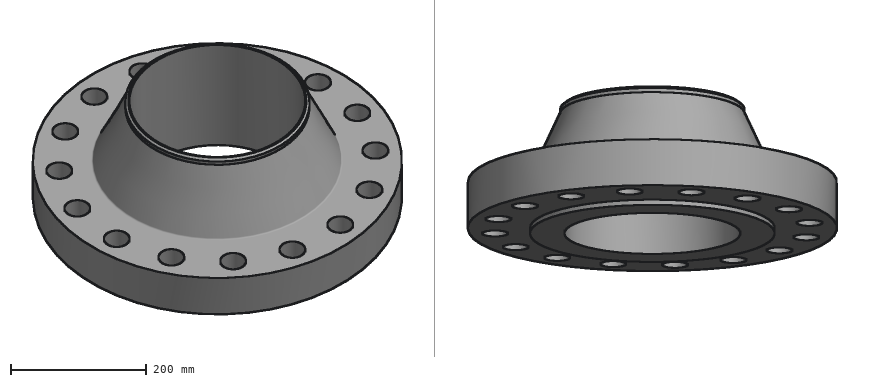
import cadquery as cq
import math

flange_diameter = 546.1
flange_thickness = 69.85
face_diameter = 361.95
face_height = 7.94

bolt_count = 16
bolt_circle_diameter = 469.9
bolt_hole_diameter = 38.1

hub_base_diameter = 368.3
hub_fillet_radius = 3.0
pipe_outer_diameter = 273.0
pipe_wall = 6.35
weld_end_length = 10.0
weld_land = 1.6
bevel_angle = math.radians(37.5)
total_height = 192.09

flange_bottom = face_height
flange_top = flange_bottom + flange_thickness
taper_end = total_height - weld_end_length

flange_radius = flange_diameter / 2
face_radius = face_diameter / 2
hub_base_radius = hub_base_diameter / 2
pipe_outer_radius = pipe_outer_diameter / 2
bore_radius = pipe_outer_radius - pipe_wall
land_radius = bore_radius + weld_land

bevel_height = (pipe_outer_radius - land_radius) * math.tan(bevel_angle)

taper_angle = math.atan2(hub_base_radius - pipe_outer_radius, taper_end - flange_top)
corner_angle = math.pi / 2 + taper_angle
tangent_length = hub_fillet_radius / math.tan(corner_angle / 2)
fillet_center_radius = hub_base_radius + tangent_length
fillet_center_level = flange_top + hub_fillet_radius
fillet_outer_point = (fillet_center_radius, flange_top)
fillet_middle_point = (
    fillet_center_radius - hub_fillet_radius * math.cos(corner_angle / 2),
    fillet_center_level - hub_fillet_radius * math.sin(corner_angle / 2),
)
fillet_inner_point = (
    hub_base_radius - tangent_length * math.sin(taper_angle),
    flange_top + tangent_length * math.cos(taper_angle),
)


def make_body():
    """Revolve the half section: raised face, disc, hub and bevelled weld end around the bore."""
    section = (
        cq.Workplane("XZ")
        .moveTo(bore_radius, 0)
        .lineTo(face_radius, 0)
        .lineTo(face_radius, flange_bottom)
        .lineTo(flange_radius, flange_bottom)
        .lineTo(flange_radius, flange_top)
        .lineTo(*fillet_outer_point)
        .threePointArc(fillet_middle_point, fillet_inner_point)
        .lineTo(pipe_outer_radius, taper_end)
        .lineTo(pipe_outer_radius, total_height - bevel_height)
        .lineTo(land_radius, total_height)
        .lineTo(bore_radius, total_height)
        .close()
    )
    return section.revolve(360, (0, 0, 0), (0, 1, 0))


def make_bolt_holes():
    """Cutters for the through holes, evenly spaced with one on the +X axis."""
    return (
        cq.Workplane("XY")
        .workplane(offset=flange_bottom)
        .polarArray(bolt_circle_diameter / 2, 0, 360, bolt_count)
        .circle(bolt_hole_diameter / 2)
        .extrude(flange_thickness)
    )


result = make_body().cut(make_bolt_holes())